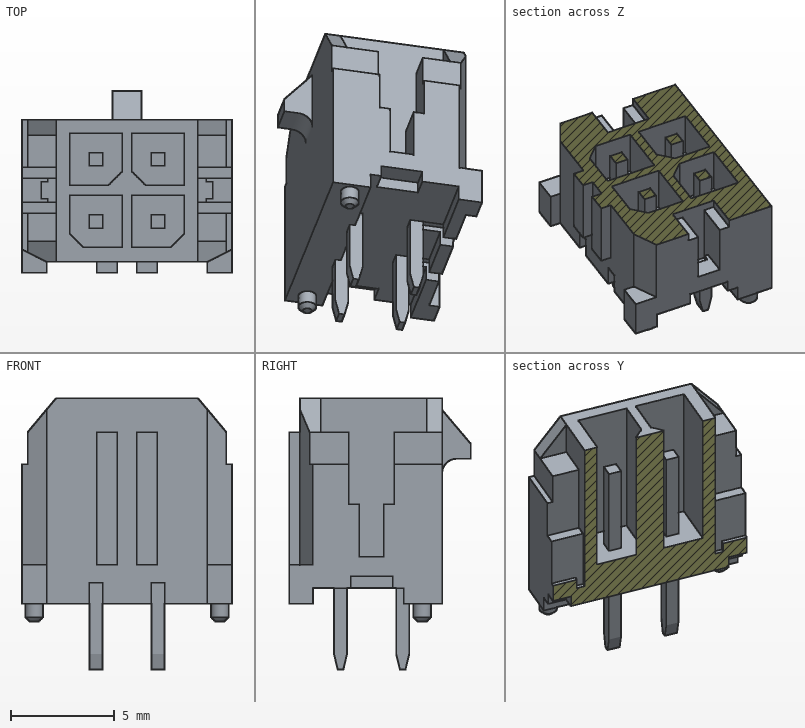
import cadquery as cq


PITCH = 3.0
PIN_WIDTH = 0.64
PIN_TOP_Z = 7.5
PIN_BOTTOM_Z = -3.17
PIN_TIP_LENGTH = 0.75
PIN_TIP_WIDTH = 0.28

HOUSING_WIDTH = 10.15
HOUSING_HEIGHT = 9.92
BACK_Y = 3.41
FRONT_Y = -3.46
FOOT_FRONT_Y = -3.98
HALF_WIDTH = HOUSING_WIDTH / 2
CORE_HALF_WIDTH = 3.425
FRONT_FACE_HALF_WIDTH = 3.87
CORNER_BACK_Y = -2.85

STEP_HALF_WIDTH = 4.80
STEP_Z = 6.74
SHOULDER_Z = 8.28
END_WALL_BACK_Y = 2.66
END_WALL_FRONT_Y = -2.45

CHANNEL_WIDTH = 2.20
CHANNEL_BOTTOM_Z = 4.80
NARROW_CHANNEL_WIDTH = 1.17
NARROW_CHANNEL_BOTTOM_Z = 2.28
FITTING_SLOT_DEPTH = 0.5
FITTING_HEAD_X = 3.82
FITTING_STEM_X = 4.13
FITTING_STEM_WIDTH = 0.81
NOTCH_WIDTH = 2.03
NOTCH_TOP_Z = 1.34

POCKET_SIZE = 2.52
POCKET_FLOOR_Z = 2.9
POCKET_CHAMFER = 0.66

RELIEF_BACK_Y = 1.55
RELIEF_FRONT_Y = -2.82
RELIEF_HEIGHT = 0.76
FRONT_SLOT_HEIGHT = 1.02

FOOT_HEIGHT = 1.88
RIB_WIDTH = 1.0
RIB_CENTRE_X = 0.96

LATCH_WIDTH = 1.40
LATCH_TIP_Y = 4.79
LATCH_TOP_Z = 9.35
LATCH_TIP_TOP_Z = 7.72
LATCH_TIP_BOTTOM_Z = 6.99
LATCH_FILLET = 0.68

PEG_X = 4.48
PEG_Y = 2.44
PEG_RADIUS = 0.435
PEG_LENGTH = 0.86
PEG_CHAMFER = 0.22


def block(x0, x1, y0, y1, z0, z1):
    """Axis-aligned box between two opposite corners."""
    return cq.Workplane("XY").box(x1 - x0, y1 - y0, z1 - z0, centered=False).translate((x0, y0, z0))


def both_sides(shape):
    """A shape together with its mirror image across X = 0."""
    return shape.union(shape.mirror("YZ"))


def make_housing():
    """Plan outline with bevelled front corners, trimmed to the stepped front outline."""
    plan = (
        cq.Workplane("XY")
        .moveTo(-HALF_WIDTH, BACK_Y)
        .lineTo(HALF_WIDTH, BACK_Y)
        .lineTo(HALF_WIDTH, CORNER_BACK_Y)
        .lineTo(FRONT_FACE_HALF_WIDTH, FRONT_Y)
        .lineTo(-FRONT_FACE_HALF_WIDTH, FRONT_Y)
        .lineTo(-HALF_WIDTH, CORNER_BACK_Y)
        .close()
        .extrude(HOUSING_HEIGHT)
    )
    half_elevation = (
        cq.Workplane("XZ", origin=(0, BACK_Y, 0))
        .moveTo(0, 0)
        .lineTo(HALF_WIDTH, 0)
        .lineTo(HALF_WIDTH, STEP_Z)
        .lineTo(STEP_HALF_WIDTH, STEP_Z)
        .lineTo(STEP_HALF_WIDTH, SHOULDER_Z)
        .lineTo(CORE_HALF_WIDTH, HOUSING_HEIGHT)
        .lineTo(0, HOUSING_HEIGHT)
        .close()
        .extrude(BACK_Y - FRONT_Y)
    )
    return plan.intersect(both_sides(half_elevation))


def side_cuts():
    """Shoulder recess, stepped channel, T-shaped fitting slot and bottom notch on each side."""
    def centred(x0, x1, width, z0, z1):
        return block(x0, x1, -width / 2, width / 2, z0, z1)

    slot_floor_z = NARROW_CHANNEL_BOTTOM_Z - FITTING_SLOT_DEPTH
    shoulder = block(
        CORE_HALF_WIDTH, HALF_WIDTH, END_WALL_FRONT_Y, END_WALL_BACK_Y, SHOULDER_Z, HOUSING_HEIGHT
    )
    channel = centred(CORE_HALF_WIDTH, HALF_WIDTH, CHANNEL_WIDTH, CHANNEL_BOTTOM_Z, HOUSING_HEIGHT)
    narrow_channel = centred(
        CORE_HALF_WIDTH, HALF_WIDTH, NARROW_CHANNEL_WIDTH, NARROW_CHANNEL_BOTTOM_Z, HOUSING_HEIGHT
    )
    slot_head = centred(
        CORE_HALF_WIDTH, FITTING_HEAD_X, NARROW_CHANNEL_WIDTH, slot_floor_z, HOUSING_HEIGHT
    )
    slot_stem = centred(
        CORE_HALF_WIDTH, FITTING_STEM_X, FITTING_STEM_WIDTH, slot_floor_z, HOUSING_HEIGHT
    )
    notch = centred(FITTING_STEM_X, HALF_WIDTH, NOTCH_WIDTH, 0, NOTCH_TOP_Z)
    cuts = shoulder.union(channel).union(narrow_channel).union(slot_head).union(slot_stem).union(notch)
    return both_sides(cuts)


def pocket(row_y, chamfered_corner):
    """Contact pocket on the +X side with one bevelled corner."""
    depth = HOUSING_HEIGHT - POCKET_FLOOR_Z
    return (
        cq.Workplane("XY", origin=(PITCH / 2, row_y, POCKET_FLOOR_Z))
        .rect(POCKET_SIZE, POCKET_SIZE)
        .extrude(depth)
        .edges("|Z")
        .edges(chamfered_corner)
        .chamfer(POCKET_CHAMFER)
    )


def underside_cuts():
    """Raised underside across the full width, with a slot to each front contact."""
    cuts = block(-HALF_WIDTH, HALF_WIDTH, RELIEF_FRONT_Y, RELIEF_BACK_Y, 0, RELIEF_HEIGHT)
    slot = block(
        (PITCH - PIN_WIDTH) / 2, (PITCH + PIN_WIDTH) / 2, FRONT_Y, -PITCH / 2, 0, FRONT_SLOT_HEIGHT
    )
    return cuts.union(both_sides(slot))


def make_front_feet():
    foot = block(FRONT_FACE_HALF_WIDTH, HALF_WIDTH, FOOT_FRONT_Y, RELIEF_FRONT_Y, 0, FOOT_HEIGHT)
    return both_sides(foot)


def make_ribs():
    rib = block(
        RIB_CENTRE_X - RIB_WIDTH / 2,
        RIB_CENTRE_X + RIB_WIDTH / 2,
        FOOT_FRONT_Y,
        FRONT_Y,
        FOOT_HEIGHT,
        SHOULDER_Z,
    )
    return both_sides(rib)


def make_latch():
    """Ramped hook on the back wall, with a concave fillet below it."""
    return (
        cq.Workplane("YZ", origin=(-LATCH_WIDTH / 2, 0, 0))
        .moveTo(BACK_Y, LATCH_TOP_Z)
        .lineTo(LATCH_TIP_Y, LATCH_TIP_TOP_Z)
        .lineTo(LATCH_TIP_Y, LATCH_TIP_BOTTOM_Z)
        .lineTo(BACK_Y + LATCH_FILLET, LATCH_TIP_BOTTOM_Z)
        .radiusArc((BACK_Y, LATCH_TIP_BOTTOM_Z - LATCH_FILLET), -LATCH_FILLET)
        .close()
        .extrude(LATCH_WIDTH)
    )


def make_pegs():
    peg = (
        cq.Workplane("XY", origin=(PEG_X, PEG_Y, -PEG_LENGTH))
        .circle(PEG_RADIUS)
        .extrude(PEG_LENGTH)
        .faces("<Z")
        .chamfer(PEG_CHAMFER)
    )
    return both_sides(peg)


def make_pin(x, y):
    """Square contact whose lower end tapers in Y only."""
    half = PIN_WIDTH / 2
    half_tip = PIN_TIP_WIDTH / 2
    taper_z = PIN_BOTTOM_Z + PIN_TIP_LENGTH
    return (
        cq.Workplane("YZ", origin=(x - half, y, 0))
        .moveTo(-half, PIN_TOP_Z)
        .lineTo(half, PIN_TOP_Z)
        .lineTo(half, taper_z)
        .lineTo(half_tip, PIN_BOTTOM_Z)
        .lineTo(-half_tip, PIN_BOTTOM_Z)
        .lineTo(-half, taper_z)
        .close()
        .extrude(PIN_WIDTH)
    )


result = make_housing().cut(side_cuts())
result = result.cut(both_sides(pocket(PITCH / 2, "<X and <Y")))
result = result.cut(both_sides(pocket(-PITCH / 2, ">X and <Y")))
result = result.cut(underside_cuts())
result = result.union(make_front_feet()).union(make_ribs()).union(make_latch()).union(make_pegs())
for pin_x in (-PITCH / 2, PITCH / 2):
    for pin_y in (-PITCH / 2, PITCH / 2):
        result = result.union(make_pin(pin_x, pin_y))